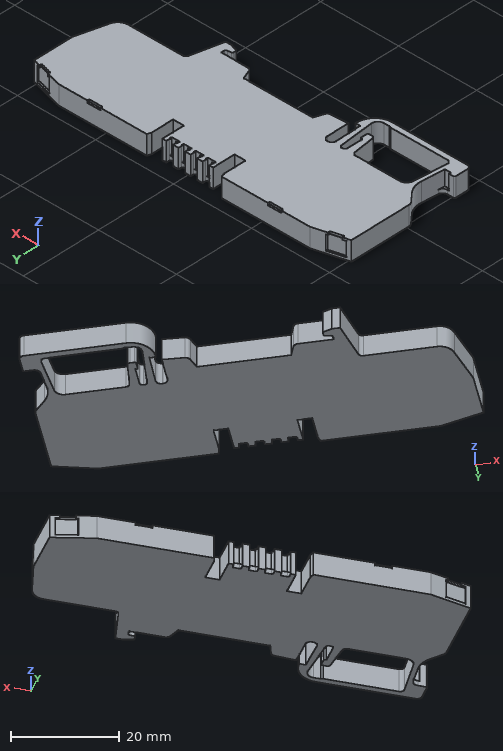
import cadquery as cq
import math

LENGTH = 81.4
WIDTH = 34.2
THICKNESS = 5.0
MID_X = LENGTH / 2

SHOULDER_Y = 31.9
SHOULDER_RUN = 8.5
SLOT_OUTER_HALF = 9.3
SLOT_DEPTH = 6.7
SLOT_LEAD_IN = 0.3
SLOT_LEAD_IN_DEPTH = 1.0
BLOCK_HALF = 6.5
BLOCK_TOP_Y = WIDTH - 1.0

GAP_COUNT = 4
GAP_PITCH = 3.1
GAP_WIDTH = 1.7
GAP_DEPTH = 1.05
GAP_ROUND = 0.3
UNDERCUT_WIDTH = 2.0
UNDERCUT_DEPTH = 0.5
UNDERCUT_FLOOR_Z = 1.05

RIM_NOTCH_HEIGHT = 0.6
FLAT_NOTCH_START = 15.9
FLAT_NOTCH_LENGTH = 3.3
FLAT_NOTCH_DEPTH = 0.5

SHOULDER_RECESS_START = 1.05
SHOULDER_RECESS_END = 5.2
SHOULDER_RECESS_DEPTH = 0.5
SHOULDER_RECESS_BOTTOM_Z = 0.65
SHOULDER_NOTCH_START = 1.9
SHOULDER_NOTCH_END = 4.8
SHOULDER_NOTCH_DEPTH = 0.6

SEAT_Y = 9.1
SEAT_HALF = 8.9
SEAT_FLARE = 1.05
PAD_Y = 6.2
PAD_ROUND = 1.05
HOOK_TIP_Y = 3.2
HOOK_X = 58.1
HOOK_NOSE_X = 56.5
FLANK_TOP_Y = 11.8
LATCH_SLOT_LEFT = 23.5
LATCH_SLOT_RIGHT = 25.8
LATCH_SLOT_TOP_Y = 12.6
LATCH_SLOT_ROUND = 1.05
LATCH_TOE_X = 24.9
LATCH_TOE_Y = 5.0
LATCH_TOE_ROUND = 4.7
HANDLE_TOP_Y = 4.4
HANDLE_BOTTOM_ROUND = 1.0
HANDLE_TOP_ROUND = 0.3
STEM_FOOT_X = 3.0
STEM_TOP_X = 3.7
STEM_TOP_Y = 11.8
STEM_TOP_ROUND = 5.1
STEM_ROUND = 1.2

WINDOW_TOP_Y = 12.3
WINDOW_BOTTOM_Y = 1.5
WINDOW_DIP = 0.2
FINGER_TIP_Y = 5.7
FINGER_RIGHT_X = 21.0
FINGER_BARB = 0.5
FINGER_BARB_TOP_Y = 7.65
FINGER_SLOT_ROUND = 0.6

RELIEF_START_X = 1.5
RELIEF_BOTTOM_Y = 3.9
RELIEF_FLOOR_Z = 1.05


def rounded_outline(corners):
    """Closed wire through (x, y, radius) corners; radius 0 leaves a sharp corner."""
    edges = []
    arcs = []
    count = len(corners)
    for i, (x, y, radius) in enumerate(corners):
        corner = cq.Vector(x, y)
        if radius == 0:
            arcs.append((corner, None, corner))
            continue
        before = cq.Vector(*corners[i - 1][:2])
        after = cq.Vector(*corners[(i + 1) % count][:2])
        back = (before - corner).normalized()
        ahead = (after - corner).normalized()
        half_angle = back.getAngle(ahead) / 2
        setback = radius / math.tan(half_angle)
        bisector = (back + ahead).normalized()
        middle = corner + bisector * (radius / math.sin(half_angle) - radius)
        arcs.append((corner + back * setback, middle, corner + ahead * setback))
    for i, (start, middle, end) in enumerate(arcs):
        if middle is not None:
            edges.append(cq.Edge.makeThreePointArc(start, middle, end))
        edges.append(cq.Edge.makeLine(end, arcs[(i + 1) % count][0]))
    return cq.Wire.assembleEdges(edges)


def prism(corners, bottom=0.0, top=THICKNESS):
    """Upright solid with a rounded outline between two heights."""
    wire = rounded_outline(corners)
    solid = cq.Solid.extrudeLinear(wire, [], cq.Vector(0, 0, top - bottom))
    return cq.Workplane("XY").add(solid.translate(cq.Vector(0, 0, bottom)))


def block(x_start, x_end, y_start, y_end, bottom=0.0):
    """Plain rectangular cutter reaching up to the top face."""
    size = (x_end - x_start, y_end - y_start, THICKNESS - bottom)
    return cq.Workplane("XY").box(*size, centered=False).translate((x_start, y_start, bottom))


def mirrored(shape):
    """Copy of a shape reflected about the middle of the part's length."""
    return shape.mirror("YZ", (MID_X, 0, 0))


def back_edge():
    """Corners of the back edge from the left end to the right end."""
    slot_floor_y = WIDTH - SLOT_DEPTH
    left_half = [
        (0, SHOULDER_Y, 0),
        (SHOULDER_RUN, WIDTH, 0),
        (MID_X - SLOT_OUTER_HALF - SLOT_LEAD_IN, WIDTH, 0),
        (MID_X - SLOT_OUTER_HALF, WIDTH - SLOT_LEAD_IN_DEPTH, 0),
        (MID_X - SLOT_OUTER_HALF, slot_floor_y, 0),
        (MID_X - BLOCK_HALF, slot_floor_y, 0),
        (MID_X - BLOCK_HALF, BLOCK_TOP_Y, 0),
    ]
    right_half = [(LENGTH - x, y, radius) for x, y, radius in reversed(left_half)]
    return left_half + right_half


def front_edge():
    """Corners of the front edge from the right end back to the left end."""
    right_end = [
        (LENGTH, 21.8, 0),
        (78.7, FLANK_TOP_Y, 2.9),
        (61.95, FLANK_TOP_Y, 0.8),
    ]
    hook = [
        (59.9, HOOK_TIP_Y, 0),
        (58.4, HOOK_TIP_Y, 0),
        (HOOK_NOSE_X, 3.8, 0.2),
        (HOOK_NOSE_X, 4.9, 0.4),
        (HOOK_X, 5.05, 0.4),
        (HOOK_X, PAD_Y, 0),
    ]
    rail_seat = [
        (MID_X + SEAT_HALF + SEAT_FLARE, PAD_Y, PAD_ROUND),
        (MID_X + SEAT_HALF, SEAT_Y, 0),
        (MID_X - SEAT_HALF, SEAT_Y, 0),
        (MID_X - SEAT_HALF - SEAT_FLARE, PAD_Y, PAD_ROUND),
        (LATCH_SLOT_RIGHT, 5.9, 0),
    ]
    latch = [
        (LATCH_SLOT_RIGHT, LATCH_SLOT_TOP_Y, LATCH_SLOT_ROUND),
        (LATCH_SLOT_LEFT, LATCH_SLOT_TOP_Y, LATCH_SLOT_ROUND),
        (23.7, LATCH_TOE_Y, 0),
        (LATCH_TOE_X, LATCH_TOE_Y, 0),
        (LATCH_TOE_X, 0, LATCH_TOE_ROUND),
    ]
    handle = [
        (0, 0, HANDLE_BOTTOM_ROUND),
        (0, HANDLE_TOP_Y, HANDLE_TOP_ROUND),
        (STEM_FOOT_X, HANDLE_TOP_Y, STEM_ROUND),
        (STEM_TOP_X, STEM_TOP_Y, STEM_TOP_ROUND),
        (0, 16.0, 1.5),
    ]
    return right_end + hook + rail_seat + latch + handle


def handle_window():
    """Opening inside the handle, with the spring finger reaching into it."""
    finger_edge_x = FINGER_RIGHT_X - FINGER_BARB
    window_dip_y = WINDOW_BOTTOM_Y - WINDOW_DIP
    return prism([
        (4.8, WINDOW_TOP_Y, 1.8),
        (18.55, WINDOW_TOP_Y, 0.8),
        (19.4, FINGER_TIP_Y, 0.5),
        (FINGER_RIGHT_X, FINGER_TIP_Y, 0.3),
        (FINGER_RIGHT_X, FINGER_BARB_TOP_Y, 0),
        (finger_edge_x, FINGER_BARB_TOP_Y, 0),
        (finger_edge_x, WINDOW_TOP_Y, FINGER_SLOT_ROUND),
        (21.9, WINDOW_TOP_Y, FINGER_SLOT_ROUND),
        (22.9, window_dip_y, 1.6),
        (19.7, window_dip_y, 0),
        (19.2, WINDOW_BOTTOM_Y, 0),
        (3.75, WINDOW_BOTTOM_Y, 0.8),
    ])


def tooth_gaps():
    """Cutters for the tooth gaps and their undercuts."""
    gap_floor_y = BLOCK_TOP_Y - GAP_DEPTH
    cutters = []
    for i in range(GAP_COUNT):
        x = MID_X + (i - (GAP_COUNT - 1) / 2) * GAP_PITCH
        left = x - GAP_WIDTH / 2
        right = x + GAP_WIDTH / 2
        gap = prism([
            (left, gap_floor_y, GAP_ROUND),
            (right, gap_floor_y, GAP_ROUND),
            (right, WIDTH, 0),
            (left, WIDTH, 0),
        ])
        undercut = block(
            x - UNDERCUT_WIDTH / 2,
            x + UNDERCUT_WIDTH / 2,
            gap_floor_y - UNDERCUT_DEPTH,
            gap_floor_y,
            UNDERCUT_FLOOR_Z,
        )
        cutters += [gap, undercut]
    return cutters


def shoulder_cut(x_start, x_end, depth, bottom, top):
    """Cutter following the left shoulder's slope at a given depth below it."""
    slope = (WIDTH - SHOULDER_Y) / SHOULDER_RUN
    floor_start_y = SHOULDER_Y + slope * x_start - depth
    floor_end_y = SHOULDER_Y + slope * x_end - depth
    return prism([
        (x_start, floor_start_y, 0),
        (x_end, floor_end_y, 0),
        (x_end, WIDTH, 0),
        (x_start, WIDTH, 0),
    ], bottom, top)


def rim_cuts():
    """Cutters for the notches and recess of the left back edge."""
    notch_floor_z = THICKNESS - RIM_NOTCH_HEIGHT
    flat_notch = block(
        FLAT_NOTCH_START,
        FLAT_NOTCH_START + FLAT_NOTCH_LENGTH,
        WIDTH - FLAT_NOTCH_DEPTH,
        WIDTH,
        notch_floor_z,
    )
    recess = shoulder_cut(
        SHOULDER_RECESS_START,
        SHOULDER_RECESS_END,
        SHOULDER_RECESS_DEPTH,
        SHOULDER_RECESS_BOTTOM_Z,
        notch_floor_z,
    )
    notch = shoulder_cut(
        SHOULDER_NOTCH_START,
        SHOULDER_NOTCH_END,
        SHOULDER_NOTCH_DEPTH,
        notch_floor_z,
        THICKNESS,
    )
    return [flat_notch, recess, notch]


def handle_relief():
    """Relief cutting the stem's root rounding away above its floor."""
    relief_top_y = HANDLE_TOP_Y + 2 * STEM_ROUND
    stem_lean = (STEM_TOP_X - STEM_FOOT_X) / (STEM_TOP_Y - HANDLE_TOP_Y)
    bottom_x = STEM_FOOT_X + stem_lean * (RELIEF_BOTTOM_Y - HANDLE_TOP_Y)
    top_x = STEM_FOOT_X + stem_lean * (relief_top_y - HANDLE_TOP_Y)
    return prism([
        (RELIEF_START_X, RELIEF_BOTTOM_Y, 0),
        (bottom_x, RELIEF_BOTTOM_Y, 0),
        (top_x, relief_top_y, 0),
        (RELIEF_START_X, relief_top_y, 0),
    ], RELIEF_FLOOR_Z)


result = prism(back_edge() + front_edge())
result = result.cut(handle_window()).cut(handle_relief())
for cutter in tooth_gaps():
    result = result.cut(cutter)
for cutter in rim_cuts():
    result = result.cut(cutter).cut(mirrored(cutter))